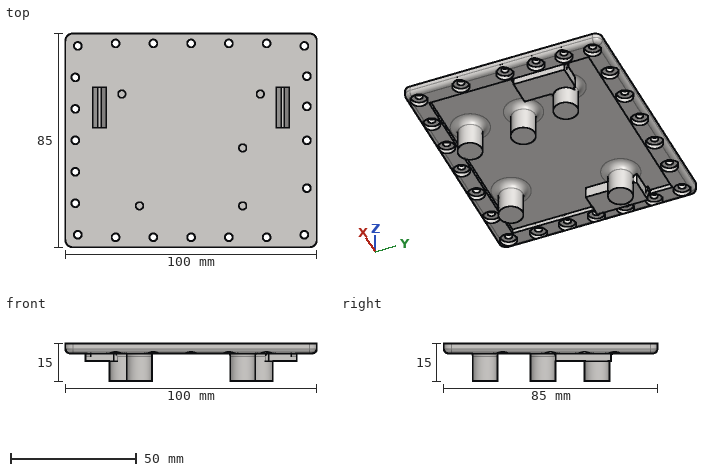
import cadquery as cq
import math

plate_x = 100.0
plate_y = 85.0
rim_t = 4.0
floor_t = 2.0
rim_w = 8.0
corner_r = 3.0
bottom_edge_r = 2.0
recess_x = plate_x - 2 * rim_w
recess_y = plate_y - 2 * rim_w

hole_d = 3.0
head_d = 7.0
head_depth = 2.0
corner_hole_x = 45.0
corner_hole_y = 37.5
long_row_y = 38.5
long_row_pitch = 15.0
long_row_count = 5
side_row_x = 46.0
left_row_pitch = 12.5
left_row_count = 5
right_row_ys = [25.5, 13.5, 0.0, -19.0]

total_z = 15.0
boss_d = 10.0
boss_root_r = 3.0
boss_hole_depth = 12.0
upper_boss_x = 27.5
upper_boss_y = 18.4
lower_boss_x = 20.5
lower_boss_y = -26.0
middle_boss_y = -3.0
upper_boss_points = [(-upper_boss_x, upper_boss_y), (upper_boss_x, upper_boss_y)]
lower_boss_points = [
    (lower_boss_x, middle_boss_y),
    (lower_boss_x, lower_boss_y),
    (-lower_boss_x, lower_boss_y),
]
boss_points = upper_boss_points + lower_boss_points

pocket_top_w = 5.2
pocket_floor_w = 1.3
pocket_length = 16.0
pocket_depth = 6.0
pocket_wall = 3.0
block_depth = 7.0
block_w = pocket_top_w + 2 * pocket_wall
block_length = pocket_length + 2 * pocket_wall
block_boss_r = 1.0
pocket_x = recess_x / 2 - block_w / 2
pocket_y = 13.0
corner_toe_r = 1.0
corner_toe_length = 2.2
pocket_points = [(-pocket_x, pocket_y), (pocket_x, pocket_y)]

arc_middle = 1 - math.sqrt(0.5)


def centred_row(count, pitch):
    """Evenly spaced positions, symmetric about zero."""
    return [(i - (count - 1) / 2) * pitch for i in range(count)]


def make_plate():
    plate = cq.Workplane("XY").rect(plate_x, plate_y).extrude(-rim_t)
    plate = plate.edges("|Z").fillet(corner_r).faces("<Z").edges().fillet(bottom_edge_r)
    recess = cq.Workplane("XY", origin=(0, 0, -rim_t)).rect(recess_x, recess_y).extrude(rim_t - floor_t)
    return plate.cut(recess)


def make_blocks_and_bosses():
    blocks = cq.Workplane("XY").pushPoints(pocket_points).rect(block_w, block_length).extrude(-block_depth)
    bosses = cq.Workplane("XY").pushPoints(upper_boss_points).circle(boss_d / 2).extrude(-block_depth)
    joined = blocks.union(bosses)

    inner_x = pocket_x - block_w / 2
    margin = 0.1
    junction_zone = cq.selectors.BoxSelector(
        (-inner_x - margin, upper_boss_y - boss_d / 2, -block_depth),
        (inner_x + margin, upper_boss_y + boss_d / 2, 0),
    )
    joined = joined.edges("|Z").edges(junction_zone).fillet(block_boss_r)
    return joined.union(cq.Workplane("XY").pushPoints(boss_points).circle(boss_d / 2).extrude(-total_z))


def make_corner_toe(side, end):
    """Small web at a block end beside the rim, with a concave toe below the rim underside."""
    end_y = pocket_y + end * block_length / 2
    web_y = end_y + end * corner_toe_r
    toe_z = -rim_t - corner_toe_r
    arc_inset = corner_toe_r * arc_middle
    profile = (
        cq.Workplane("YZ", origin=(side * recess_x / 2, 0, 0))
        .moveTo(end_y, -floor_t / 2)
        .lineTo(web_y, -floor_t / 2)
        .lineTo(web_y, -rim_t)
        .threePointArc((end_y + end * arc_inset, -rim_t - arc_inset), (end_y, toe_z))
        .close()
    )
    return profile.extrude(-side * corner_toe_length)


def make_boss_root(x, y):
    """Concave flare that blends a boss into the recess floor."""
    boss_r = boss_d / 2
    flare_r = boss_r + boss_root_r
    flare_bottom_z = -floor_t - boss_root_r
    arc_inset = boss_root_r * arc_middle
    return (
        cq.Workplane("XZ", origin=(x, y, 0))
        .moveTo(0, -floor_t / 2)
        .lineTo(flare_r, -floor_t / 2)
        .lineTo(flare_r, -floor_t)
        .threePointArc((boss_r + arc_inset, -floor_t - arc_inset), (boss_r, flare_bottom_z))
        .lineTo(0, flare_bottom_z)
        .close()
        .revolve(360, (0, 0), (0, 1))
    )


def make_rim_hole_cutter():
    points = [(x, y) for x in (-corner_hole_x, corner_hole_x) for y in (-corner_hole_y, corner_hole_y)]
    points += [(x, y) for x in centred_row(long_row_count, long_row_pitch) for y in (-long_row_y, long_row_y)]
    points += [(-side_row_x, y) for y in centred_row(left_row_count, left_row_pitch)]
    points += [(side_row_x, y) for y in right_row_ys]
    shanks = cq.Workplane("XY").pushPoints(points).circle(hole_d / 2).extrude(-rim_t)
    heads = cq.Workplane("XY", origin=(0, 0, -rim_t)).pushPoints(points).circle(head_d / 2).extrude(head_depth)
    return shanks.union(heads)


def make_boss_hole_cutter():
    return cq.Workplane("XY").pushPoints(boss_points).circle(hole_d / 2).extrude(-boss_hole_depth)


def make_pocket_cutter(x, y):
    """Trapezoid prism along Y: both long walls slope in to a narrow flat floor."""
    profile = [
        (x - pocket_top_w / 2, 0),
        (x + pocket_top_w / 2, 0),
        (x + pocket_floor_w / 2, -pocket_depth),
        (x - pocket_floor_w / 2, -pocket_depth),
    ]
    outline = cq.Workplane("XZ", origin=(0, y, 0)).polyline(profile).close()
    return outline.extrude(pocket_length / 2, both=True)


body = make_plate().union(make_blocks_and_bosses())
for boss_point in boss_points:
    body = body.union(make_boss_root(*boss_point))
for side in (-1, 1):
    for end in (-1, 1):
        body = body.union(make_corner_toe(side, end))
body = body.cut(make_rim_hole_cutter()).cut(make_boss_hole_cutter())
for pocket_point in pocket_points:
    body = body.cut(make_pocket_cutter(*pocket_point))

result = body